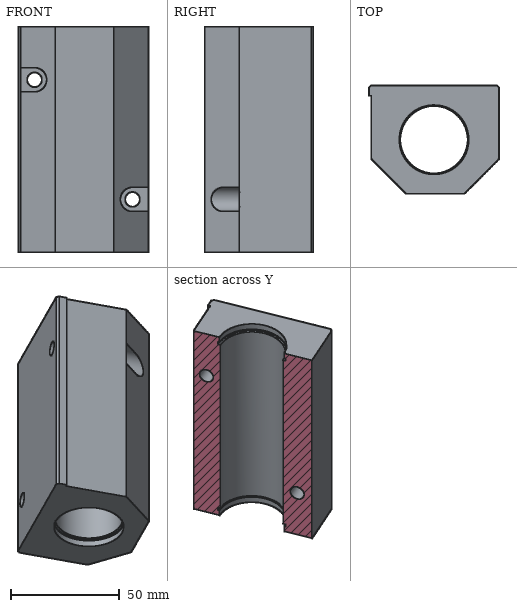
import cadquery as cq

length = 104.0
width = 60.0
depth = 50.0
lip_projection = 1.0
lip_length = 4.9
back_chamfer = 1.0
front_chamfer = 16.0

bore_diameter = 31.0
seat_diameter = 32.0
groove_diameter = 33.5
groove_start = 3.1
groove_width = 1.1
seat_depth = groove_start + groove_width
bore_x = width / 2
bore_y = 25.0

screw_diameter = 6.7
slot_width = 11.1
slot_floor_y = front_chamfer
screw_spacing_x = 45.1
screw_end_distance = 24.4


def housing_body():
    side_x = lip_projection
    return (
        cq.Workplane("XY")
        .moveTo(side_x + front_chamfer, 0)
        .lineTo(width - front_chamfer, 0)
        .lineTo(width, front_chamfer)
        .lineTo(width, depth - back_chamfer)
        .lineTo(width - back_chamfer, depth)
        .lineTo(back_chamfer, depth)
        .lineTo(0, depth - back_chamfer)
        .lineTo(0, depth - lip_length)
        .lineTo(side_x, depth - lip_length)
        .lineTo(side_x, front_chamfer)
        .close()
        .extrude(length)
    )


def bore_cylinder(diameter, start, height):
    return (
        cq.Workplane("XY", origin=(bore_x, bore_y, start))
        .circle(diameter / 2)
        .extrude(height)
    )


def bore_cutter():
    cutter = bore_cylinder(bore_diameter, 0, length)
    for seat_start in (0, length - seat_depth):
        cutter = cutter.union(bore_cylinder(seat_diameter, seat_start, seat_depth))
    for start in (groove_start, length - seat_depth):
        cutter = cutter.union(bore_cylinder(groove_diameter, start, groove_width))
    return cutter


def screw_cutter(side, z):
    """Screw hole and head slot; side is -1 for the left and +1 for the right."""
    x = bore_x + side * screw_spacing_x / 2
    reach = width / 2
    hole = cq.Workplane("XZ", origin=(x, 0, z)).circle(screw_diameter / 2).extrude(-depth)
    slot_end = cq.Workplane("XZ", origin=(x, 0, z)).circle(slot_width / 2).extrude(-slot_floor_y)
    slot_side = (
        cq.Workplane("XZ", origin=(x + side * reach / 2, 0, z))
        .rect(reach, slot_width)
        .extrude(-slot_floor_y)
    )
    return hole.union(slot_end).union(slot_side)


result = housing_body().cut(bore_cutter())
result = result.cut(screw_cutter(-1, length - screw_end_distance))
result = result.cut(screw_cutter(1, screw_end_distance))